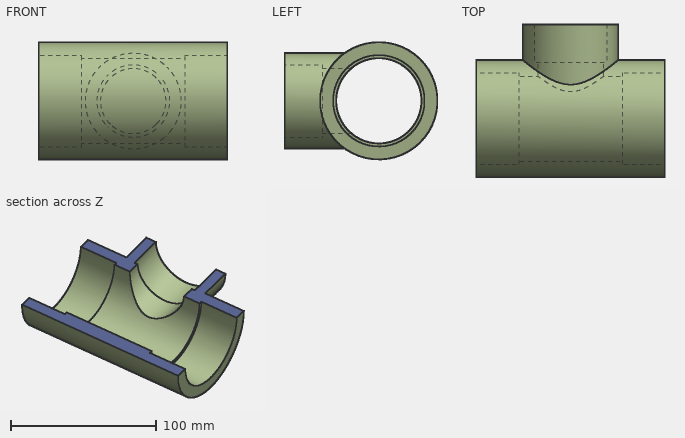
import cadquery as cq

run_length = 130.0
run_diameter = 81.0
run_bore_diameter = 58.6
run_socket_diameter = 63.0
run_socket_depth = 29.5

branch_reach = 65.0
branch_diameter = 66.0
branch_bore_diameter = 45.0
branch_socket_diameter = 50.0
branch_socket_depth = 26.0


def run_cylinder(diameter, length, start):
    """Cylinder on the X axis, beginning at x = start."""
    return cq.Workplane("YZ").workplane(offset=start).circle(diameter / 2).extrude(length)


def branch_cylinder(diameter, length, start):
    """Cylinder on the Y axis, beginning at y = start and growing toward +Y."""
    return cq.Workplane("XZ").workplane(offset=-start).circle(diameter / 2).extrude(-length)


run_end = run_length / 2
body = run_cylinder(run_diameter, run_length, -run_end)
body = body.union(branch_cylinder(branch_diameter, branch_reach, 0))

body = body.cut(run_cylinder(run_bore_diameter, run_length, -run_end))
body = body.cut(branch_cylinder(branch_bore_diameter, branch_reach, 0))

for socket_start in (-run_end, run_end - run_socket_depth):
    body = body.cut(run_cylinder(run_socket_diameter, run_socket_depth, socket_start))

branch_socket_start = branch_reach - branch_socket_depth
body = body.cut(branch_cylinder(branch_socket_diameter, branch_socket_depth, branch_socket_start))

result = body